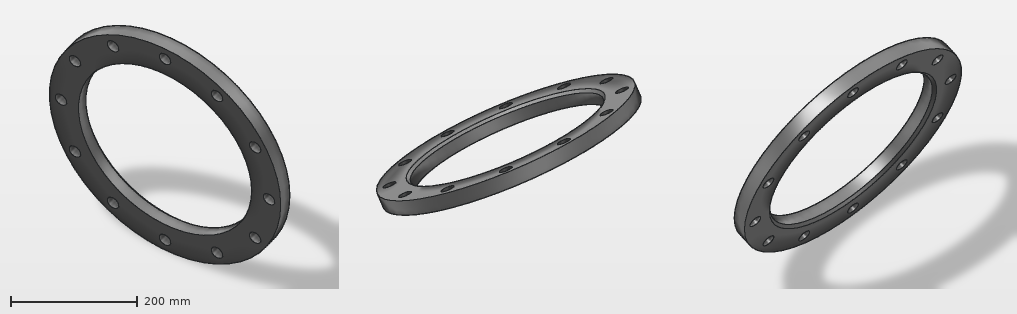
import cadquery as cq

outer_diameter = 445.0
bore_diameter = 333.0
thickness = 26.0
bore_chamfer = 5.0

bolt_circle_diameter = 400.0
bolt_hole_diameter = 22.0
bolt_count = 12


def make_ring():
    """Flat ring with its rear face on the XZ plane and the rear bore edge chamfered."""
    return (
        cq.Workplane("XZ")
        .circle(outer_diameter / 2)
        .circle(bore_diameter / 2)
        .extrude(thickness)
        .faces(">Y")
        .edges(cq.selectors.RadiusNthSelector(0))
        .chamfer(bore_chamfer)
    )


def make_bolt_holes():
    """Cylinders that cut the bolt holes through the full thickness."""
    return (
        cq.Workplane("XZ")
        .polarArray(bolt_circle_diameter / 2, 0, 360, bolt_count)
        .circle(bolt_hole_diameter / 2)
        .extrude(thickness)
    )


result = make_ring().cut(make_bolt_holes())